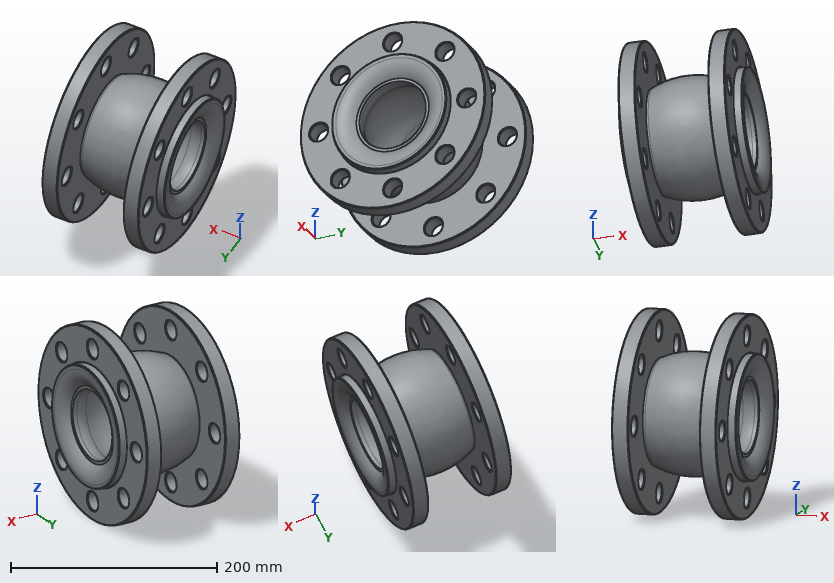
import cadquery as cq
import math


overall_length = 123.0
bore_radius = 72.0 / 2
neck_radius = 104.2 / 2
crown_radius = 122.0 / 2
arch_radius = 87.0
wall_thickness = 12.4
outer_blend = 24.0
inner_blend = 26.0
lip_radius = 62.0
lip_chamfer = 1.0
mouth_radius = 57.5
throat_radius = 39.2

flange_diameter = 200.0
flange_inner_x = 36.2
flange_outer_x = 53.2
flange_chamfer = 1.0
lip_seat_depth = 1.0
bolt_count = 8
bolt_circle_radius = 80.0
bolt_hole_diameter = 19.0
bolt_hole_chamfer = 1.0

end_x = overall_length / 2
lip_back_x = flange_outer_x - lip_seat_depth
arch_center = crown_radius - arch_radius


def blend_points(arch, blend, cylinder_radius):
    """Arch end, blend midpoint and cylinder start of a fillet from an arch to a cylinder."""
    center_r = cylinder_radius + blend
    rise = center_r - arch_center
    center_x = math.sqrt((arch + blend) ** 2 - rise ** 2)
    angle = math.atan2(center_x, rise)
    arch_end = (arch * math.sin(angle), arch_center + arch * math.cos(angle))
    middle = (center_x - blend * math.sin(angle / 2), center_r - blend * math.cos(angle / 2))
    return arch_end, middle, (center_x, cylinder_radius)


def flare_midpoint():
    """Middle of the mouth flare, an arc tangent to the end face."""
    width = mouth_radius - throat_radius
    depth = end_x - flange_outer_x
    radius = (width ** 2 + depth ** 2) / (2 * depth)
    half_angle = math.asin(width / radius) / 2
    return (end_x - radius * (1 - math.cos(half_angle)), mouth_radius - radius * math.sin(half_angle))


def mirrored(point):
    return (-point[0], point[1])


def revolve_about_x(profile):
    return profile.close().revolve(360, (0, 0, 0), (1, 0, 0))


def make_bellows():
    inner_arch = arch_radius - wall_thickness
    outer_end, outer_middle, neck_start = blend_points(arch_radius, outer_blend, neck_radius)
    inner_end, inner_middle, bore_start = blend_points(inner_arch, inner_blend, bore_radius)
    lip_back = (lip_back_x, neck_radius)
    lip_rim_back = (lip_back_x, lip_radius)
    lip_rim_front = (end_x - lip_chamfer, lip_radius)
    lip_face = (end_x, lip_radius - lip_chamfer)
    mouth = (end_x, mouth_radius)
    throat = (flange_outer_x, throat_radius)
    bore_edge = (flange_outer_x, bore_radius)
    flare_middle = flare_midpoint()
    profile = (
        cq.Workplane("XY")
        .moveTo(*mirrored(outer_end))
        .threePointArc((0, crown_radius), outer_end)
        .threePointArc(outer_middle, neck_start)
        .lineTo(*lip_back)
        .lineTo(*lip_rim_back)
        .lineTo(*lip_rim_front)
        .lineTo(*lip_face)
        .lineTo(*mouth)
        .threePointArc(flare_middle, throat)
        .lineTo(*bore_edge)
        .lineTo(*bore_start)
        .threePointArc(inner_middle, inner_end)
        .threePointArc((0, arch_center + inner_arch), mirrored(inner_end))
        .threePointArc(mirrored(inner_middle), mirrored(bore_start))
        .lineTo(*mirrored(bore_edge))
        .lineTo(*mirrored(throat))
        .threePointArc(mirrored(flare_middle), mirrored(mouth))
        .lineTo(*mirrored(lip_face))
        .lineTo(*mirrored(lip_rim_front))
        .lineTo(*mirrored(lip_rim_back))
        .lineTo(*mirrored(lip_back))
        .lineTo(*mirrored(neck_start))
        .threePointArc(mirrored(outer_middle), mirrored(outer_end))
    )
    return revolve_about_x(profile)


def make_lip_seat():
    """Shallow recess for the bellows lip, widening towards the outer face of the flange."""
    profile = (
        cq.Workplane("XY")
        .moveTo(lip_back_x, 0)
        .lineTo(lip_back_x, lip_radius)
        .lineTo(flange_outer_x, lip_radius + lip_seat_depth)
        .lineTo(flange_outer_x, 0)
    )
    return revolve_about_x(profile)


def make_flange(bellows_body):
    """Flange on the +X side, shaped inside to the bellows neck."""
    thickness = flange_outer_x - flange_inner_x
    blank = (
        cq.Workplane("YZ", origin=(flange_inner_x, 0, 0))
        .circle(flange_diameter / 2)
        .extrude(thickness)
        .edges()
        .chamfer(flange_chamfer)
    )
    bolt_holes = (
        cq.Workplane("YZ", origin=(flange_inner_x, 0, 0))
        .polarArray(bolt_circle_radius, 0, 360, bolt_count)
        .circle(bolt_hole_diameter / 2)
        .extrude(thickness)
    )
    drilled = blank.cut(bolt_holes)
    hole_rims = drilled.edges(cq.selectors.RadiusNthSelector(0))
    chamfered = hole_rims.chamfer(bolt_hole_chamfer)
    neck_hole = cq.Workplane("YZ").circle(neck_radius).extrude(end_x)
    return chamfered.cut(neck_hole).cut(make_lip_seat()).cut(bellows_body)


bellows = make_bellows()
right_flange = make_flange(bellows)
flanges = []
for flange in (right_flange, right_flange.mirror("YZ")):
    flanges.extend(flange.solids().vals())

result = cq.Compound.makeCompound([bellows.val(), *flanges])